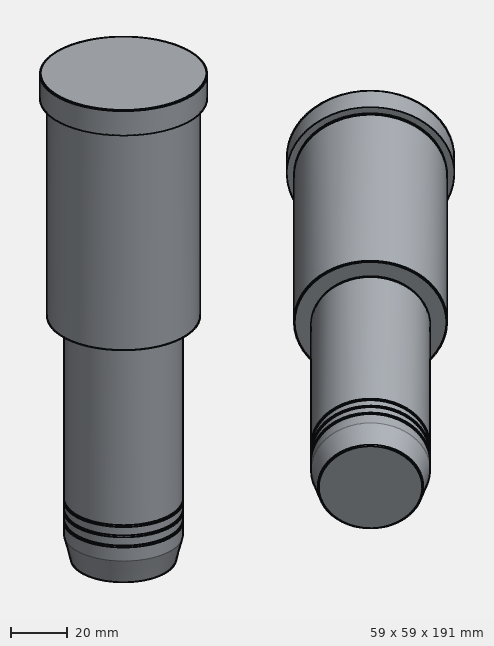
import cadquery as cq

total_length = 191.0
head_diameter = 59.0
head_height = 10.0
head_chamfer = 0.4
body_diameter = 54.0
body_bottom = 95.3
body_chamfer = 0.4
pin_diameter = 42.0

tip_height = 10.0
tip_diameter = 37.0
tip_chamfer = 0.4

relief_width = 1.0
relief_depth = 0.2
neck_width = 1.3
neck_depth = 0.5

ring_width = 0.8
ring_depth = 0.2
ring_pitch = 4.0
lowest_ring = 15.0
ring_count = 3


def cylinder(diameter, bottom, top):
    return cq.Workplane("XY").workplane(offset=bottom).circle(diameter / 2).extrude(top - bottom)


def cut_groove(part, diameter, bottom, width, depth):
    top = bottom + width
    ring = cylinder(diameter, bottom, top).cut(cylinder(diameter - 2 * depth, bottom, top))
    return part.cut(ring)


head_bottom = total_length - head_height

head = cylinder(head_diameter, head_bottom, total_length).faces(">Z").chamfer(head_chamfer)
body = cylinder(body_diameter, body_bottom, head_bottom).faces("<Z").chamfer(body_chamfer)
body = cut_groove(body, body_diameter, head_bottom - relief_width, relief_width, relief_depth)

pin = cylinder(pin_diameter, tip_height, body_bottom)
pin = cut_groove(pin, pin_diameter, body_bottom - neck_width, neck_width, neck_depth)
for index in range(ring_count):
    ring_bottom = lowest_ring + index * ring_pitch
    pin = cut_groove(pin, pin_diameter, ring_bottom, ring_width, ring_depth)

tip = (
    cq.Workplane("XY")
    .circle(tip_diameter / 2)
    .workplane(offset=tip_height)
    .circle(pin_diameter / 2)
    .loft()
    .faces("<Z")
    .chamfer(tip_chamfer)
)

result = head.union(body).union(pin).union(tip)